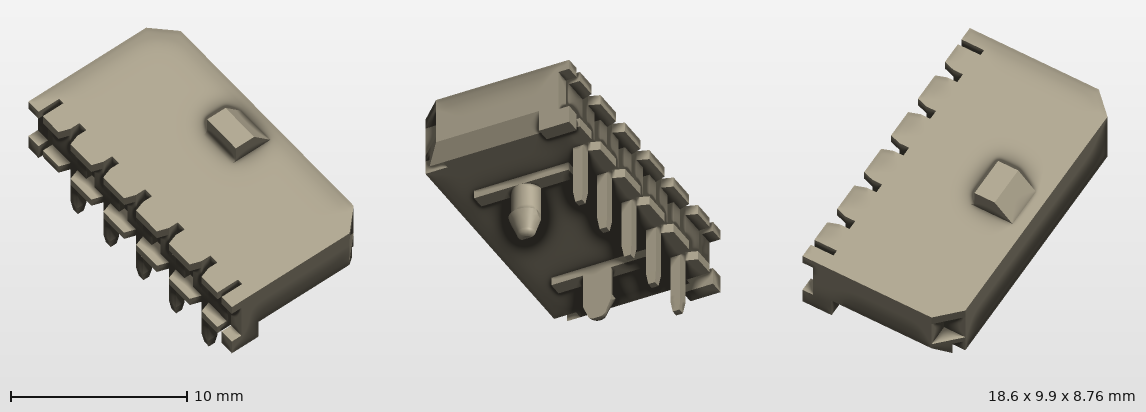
import cadquery as cq
import math


LENGTH = 18.65
DEPTH = 9.9
TOP_Z = 4.33
BOTTOM_Z = 0.52
CORNER_CHAMFER = 1.4
EDGE_CHAMFER = 0.85
FOOT_WIDTH = 0.93
FOOT_DEPTH = 1.92

RECESS_DEPTH = 0.69
UPPER_LEDGE_Z = 3.7
LOWER_LEDGE_Z = 1.1

PIN_COUNT = 5
PIN_PITCH = 3.0
PIN_SIZE = 0.63
PIN_TIP_SIZE = 0.43
PIN_TAPER_Z = -2.48
PIN_BOTTOM_Z = -3.2
PIN_BEND_Z = 1.5
PIN_BEND_RADIUS = 1.62
NOTCH_MOUTH_WIDTH = 1.1
PIN_BACK_Y = RECESS_DEPTH + PIN_SIZE

POCKET_WIDTH = 0.78
POCKET_DEPTH = 0.41

SLOT_WIDTH = 0.4
SLOT_DEPTH = 1.5
CHANNEL_BOTTOM_Z = 2.75
CORNER_WINDOW_BOTTOM_Z = 1.77
KEY_NOTCH_TOP_Z = 1.4

LATCH_WIDTH = 2.63
LATCH_HEIGHT = 1.23
LATCH_FRONT_Y = 6.6
LATCH_RIDGE_Y = 7.93
LATCH_BACK_Y = 9.1
LATCH_FILLET = 0.26

PEG_FLAT_X = 4.3
PEG_Y = 5.3
PEG_RADIUS = 0.9
BARB_OVERHANG = 0.17
BARB_Z = -1.8
BARB_CONE_BOTTOM_Z = -2.87
BARB_CONE_BOTTOM_RADIUS = 0.6
BARB_TIP_RADIUS = 0.26
BARB_TIP_BULGE = 0.05
RIB_FRONT_Y = 2.18
RIB_BACK_Y = 8.2

HALF_LENGTH = LENGTH / 2
PIN_XS = [(i - (PIN_COUNT - 1) / 2) * PIN_PITCH for i in range(PIN_COUNT)]
SIDES = (-1, 1)


def box_between(x0, x1, y0, y1, z0, z1):
    """Box spanning two opposite corners, given in any order."""
    return (
        cq.Workplane("XY")
        .box(abs(x1 - x0), abs(y1 - y0), abs(z1 - z0))
        .translate(((x0 + x1) / 2, (y0 + y1) / 2, (z0 + z1) / 2))
    )


def extrude_along_x(profile, width, x_center):
    """Extrude a closed YZ profile symmetrically about x_center."""
    return profile.extrude(width / 2, both=True).translate((x_center, 0, 0))


def housing_block():
    """Solid housing with chamfered mating corners, lower side edges and front feet."""
    foot_top_z = BOTTOM_Z + EDGE_CHAMFER
    block = box_between(-HALF_LENGTH, HALF_LENGTH, 0, DEPTH, BOTTOM_Z, TOP_Z)
    block = block.edges("|Y and <Z").chamfer(EDGE_CHAMFER)
    shoulder_y = DEPTH - CORNER_CHAMFER
    shoulder_x = HALF_LENGTH - CORNER_CHAMFER
    outline = (
        cq.Workplane("XY", origin=(0, 0, BOTTOM_Z))
        .polyline([
            (-HALF_LENGTH, 0),
            (HALF_LENGTH, 0),
            (HALF_LENGTH, shoulder_y),
            (shoulder_x, DEPTH),
            (-shoulder_x, DEPTH),
            (-HALF_LENGTH, shoulder_y),
        ])
        .close()
        .extrude(TOP_Z - BOTTOM_Z)
    )
    block = block.intersect(outline)
    for side in SIDES:
        outer_x = side * HALF_LENGTH
        inner_x = side * (HALF_LENGTH - FOOT_WIDTH)
        block = block.union(box_between(outer_x, inner_x, 0, FOOT_DEPTH, 0, foot_top_z))
    return block


def pin_notch(x):
    """Flared notch through both ledges, continued as an open slot behind the pin bend."""
    half_pin = PIN_SIZE / 2
    half_mouth = NOTCH_MOUTH_WIDTH / 2
    return (
        cq.Workplane("XY", origin=(x, 0, BOTTOM_Z))
        .polyline([
            (-half_mouth, 0),
            (half_mouth, 0),
            (half_pin, RECESS_DEPTH),
            (half_pin, PIN_BACK_Y),
            (-half_pin, PIN_BACK_Y),
            (-half_pin, RECESS_DEPTH),
        ])
        .close()
        .extrude(TOP_Z - BOTTOM_Z)
    )


def end_cuts(side):
    """End slot, its channel, and the window and key notch in the mating corner."""
    outer_x = side * HALF_LENGTH
    slot_x = side * (HALF_LENGTH - FOOT_WIDTH)
    slot_inner_x = slot_x - side * SLOT_WIDTH
    corner_x = side * (HALF_LENGTH - CORNER_CHAMFER)
    corner_y = DEPTH - CORNER_CHAMFER
    key_x = side * (HALF_LENGTH - EDGE_CHAMFER)
    slot = box_between(slot_x, slot_inner_x, 0, SLOT_DEPTH, 0, TOP_Z)
    channel = box_between(slot_x, slot_inner_x, 0, DEPTH, CHANNEL_BOTTOM_Z, UPPER_LEDGE_Z)
    window = box_between(outer_x, corner_x, corner_y, DEPTH, CORNER_WINDOW_BOTTOM_Z, UPPER_LEDGE_Z)
    key_notch = box_between(key_x, corner_x, corner_y, DEPTH, BOTTOM_Z, KEY_NOTCH_TOP_Z)
    return slot.union(channel).union(window).union(key_notch)


def pin(x):
    """Square pin with a tapered tip and a rounded bend meeting the slot's back wall."""
    bend_center_y = RECESS_DEPTH + PIN_BEND_RADIUS
    mid_y = RECESS_DEPTH + PIN_SIZE / 4

    def bend_z(y):
        return PIN_BEND_Z + math.sqrt(PIN_BEND_RADIUS**2 - (bend_center_y - y) ** 2)

    profile = (
        cq.Workplane("YZ")
        .moveTo(PIN_BACK_Y, PIN_TAPER_Z)
        .lineTo(RECESS_DEPTH, PIN_TAPER_Z)
        .lineTo(RECESS_DEPTH, PIN_BEND_Z)
        .threePointArc((mid_y, bend_z(mid_y)), (PIN_BACK_Y, bend_z(PIN_BACK_Y)))
        .close()
    )
    tip = (
        cq.Workplane("XY", origin=(x, RECESS_DEPTH + PIN_SIZE / 2, PIN_TAPER_Z))
        .rect(PIN_SIZE, PIN_SIZE)
        .workplane(offset=PIN_BOTTOM_Z - PIN_TAPER_Z)
        .rect(PIN_TIP_SIZE, PIN_TIP_SIZE)
        .loft()
    )
    return extrude_along_x(profile, PIN_SIZE, x).union(tip)


def latch():
    """Ramp with a vertical catch face and a concave fillet at its foot."""
    arc_middle = LATCH_FILLET * (1 - math.sqrt(0.5))
    profile = (
        cq.Workplane("YZ")
        .moveTo(LATCH_BACK_Y, TOP_Z)
        .lineTo(LATCH_RIDGE_Y, TOP_Z + LATCH_HEIGHT)
        .lineTo(LATCH_FRONT_Y, TOP_Z + LATCH_HEIGHT)
        .lineTo(LATCH_FRONT_Y, TOP_Z + LATCH_FILLET)
        .threePointArc(
            (LATCH_FRONT_Y - arc_middle, TOP_Z + arc_middle),
            (LATCH_FRONT_Y - LATCH_FILLET, TOP_Z),
        )
        .close()
    )
    return extrude_along_x(profile, LATCH_WIDTH, 0)


def board_peg(side):
    """Standoff rib with a half-round barbed peg whose flat faces the middle."""
    flat_x = side * PEG_FLAT_X
    barb_radius = PEG_RADIUS + BARB_OVERHANG
    outer_x = side * (PEG_FLAT_X + PEG_RADIUS)
    tip_mid_radius = (BARB_CONE_BOTTOM_RADIUS + BARB_TIP_RADIUS) / 2 + BARB_TIP_BULGE
    tip_mid_z = (BARB_CONE_BOTTOM_Z + PIN_BOTTOM_Z) / 2 - BARB_TIP_BULGE
    peg = (
        cq.Workplane("XZ")
        .moveTo(0, 0)
        .lineTo(PEG_RADIUS, 0)
        .lineTo(PEG_RADIUS, BARB_Z)
        .lineTo(barb_radius, BARB_Z)
        .lineTo(BARB_CONE_BOTTOM_RADIUS, BARB_CONE_BOTTOM_Z)
        .threePointArc((tip_mid_radius, tip_mid_z), (BARB_TIP_RADIUS, PIN_BOTTOM_Z))
        .lineTo(0, PIN_BOTTOM_Z)
        .close()
        .revolve(360, (0, 0), (0, 1))
        .translate((flat_x, PEG_Y, 0))
    )
    outer_half = box_between(
        flat_x, flat_x + side * barb_radius,
        PEG_Y - PEG_RADIUS, PEG_Y + PEG_RADIUS,
        PIN_BOTTOM_Z, 0,
    )
    rib = box_between(flat_x, outer_x, RIB_FRONT_Y, RIB_BACK_Y, 0, BOTTOM_Z)
    return rib.union(peg.intersect(outer_half))


result = housing_block()
result = result.cut(
    box_between(-HALF_LENGTH, HALF_LENGTH, 0, RECESS_DEPTH, LOWER_LEDGE_Z, UPPER_LEDGE_Z)
)
for left_x, right_x in zip(PIN_XS, PIN_XS[1:]):
    middle_x = (left_x + right_x) / 2
    result = result.cut(
        box_between(
            middle_x - POCKET_WIDTH / 2, middle_x + POCKET_WIDTH / 2,
            RECESS_DEPTH, RECESS_DEPTH + POCKET_DEPTH,
            LOWER_LEDGE_Z, UPPER_LEDGE_Z,
        )
    )
for side in SIDES:
    result = result.cut(end_cuts(side))

for pin_x in PIN_XS:
    result = result.cut(pin_notch(pin_x)).union(pin(pin_x))

result = result.union(latch())
for side in SIDES:
    result = result.union(board_peg(side))